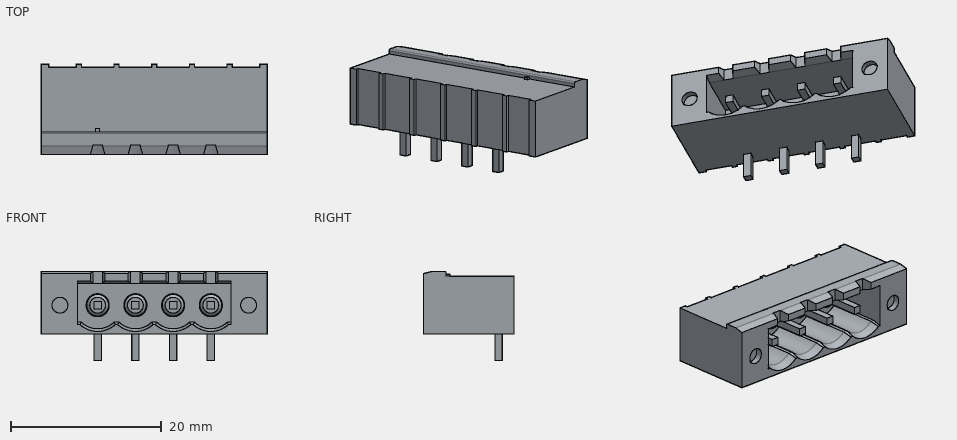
import cadquery as cq

length = 30.0
depth = 12.0
body_height = 7.68
rib_height = 8.35
position_count = 4
pitch = length / (position_count + 2)
axis_height = 3.85
contact_xs = [(i - (position_count - 1) / 2) * pitch for i in range(position_count)]

rib_depth = 3.0
rib_back_round = 0.2
ramp_length = 1.17
ramp_drop = 0.3

marker_width = 0.5
marker_back = 3.5
marker_height = 0.27

recess_depth = 0.4
end_land = 1.02
middle_land = 0.72

cavity_width = 20.35
cavity_depth = 8.4
cavity_bottom = 1.62
cavity_top = 6.72
scallop_radius = 3.12
lead_in_length = 1.25
lead_in = 0.35

slot_width = 1.23
slot_mouth_width = slot_width + 2 * lead_in

flange_hole_diameter = 2.1
flange_hole_depth = 0.9
flange_hole_x = (position_count + 1) / 2 * pitch

pin_size = 1.02
pin_tip = 1.55
leg_back = depth - 1.53
leg_length = 3.5
collar_radius = 1.53
collar_shoulder_radius = 1.45
collar_tip_radius = 1.05
collar_length = 1.5
collar_chamfer_length = 0.35


def box(x_range, y_range, z_range):
    """Axis-aligned block spanning the given ranges."""
    sizes = [high - low for low, high in (x_range, y_range, z_range)]
    corner = (x_range[0], y_range[0], z_range[0])
    return cq.Workplane("XY").box(*sizes, centered=False).translate(corner)


def revolve_about_contact(profile, x):
    """Turn a (y, radius) profile about the contact axis at x."""
    turned = cq.Workplane("YZ").polyline(profile).close().revolve(360, (0, 0, 0), (1, 0, 0))
    return turned.translate((x, 0, axis_height))


def housing_block():
    """Side profile with the ramped rib, extruded along X; the rib's back edge is rounded."""
    profile = [
        (0, 0),
        (depth, 0),
        (depth, body_height),
        (rib_depth, body_height),
        (rib_depth, rib_height),
        (ramp_length, rib_height),
        (0, rib_height - ramp_drop),
    ]
    block = cq.Workplane("YZ").polyline(profile).close().extrude(length / 2, both=True)
    rib_back_edge = cq.selectors.NearestToPointSelector((0, rib_depth, rib_height))
    return block.edges(rib_back_edge).fillet(rib_back_round)


def pin_one_marker():
    """Small block above the first contact, rooted in the roof and the rib."""
    x = contact_xs[0]
    rib_middle = rib_depth / 2
    return box(
        (x - marker_width / 2, x + marker_width / 2),
        (rib_middle, marker_back),
        (body_height - marker_height, body_height + marker_height),
    )


def back_recesses():
    """Shallow full-height recesses that leave narrow lands on the back face."""
    half_land = middle_land / 2
    land_xs = [(i - position_count / 2) * pitch for i in range(position_count + 1)]
    starts = [-length / 2 + end_land] + [x + half_land for x in land_xs]
    ends = [x - half_land for x in land_xs] + [length / 2 - end_land]
    y_range = (depth - recess_depth, depth)
    return [box(x_range, y_range, (0, body_height)) for x_range in zip(starts, ends)]


def cavity_box():
    """Straight-sided part of the cavity; its floor and ceiling flare at the mouth."""
    profile = [
        (0, cavity_bottom - lead_in),
        (lead_in_length, cavity_bottom),
        (cavity_depth, cavity_bottom),
        (cavity_depth, cavity_top),
        (lead_in_length, cavity_top),
        (0, cavity_top + lead_in),
    ]
    return cq.Workplane("YZ").polyline(profile).close().extrude(cavity_width / 2, both=True)


def scallop(x):
    """Round trough along one contact axis, flaring at the mouth."""
    profile = [
        (0, 0),
        (0, scallop_radius + lead_in),
        (lead_in_length, scallop_radius),
        (cavity_depth, scallop_radius),
        (cavity_depth, 0),
    ]
    half_width = cavity_width / 2
    floor_zone = box((-half_width, half_width), (0, cavity_depth), (0, axis_height))
    return revolve_about_contact(profile, x).intersect(floor_zone)


def keying_slot(x):
    """Tapered notch through the lip above one contact."""
    profile = [
        (x - slot_mouth_width / 2, 0),
        (x + slot_mouth_width / 2, 0),
        (x + slot_width / 2, lead_in_length),
        (x - slot_width / 2, lead_in_length),
    ]
    slot = cq.Workplane("XY").polyline(profile).close().extrude(rib_height - axis_height)
    return slot.translate((0, 0, axis_height))


def flange_hole(x):
    """Blind round hole in the front face."""
    hole = cq.Workplane("XZ").circle(flange_hole_diameter / 2).extrude(-flange_hole_depth)
    return hole.translate((x, 0, axis_height))


def make_pin(x):
    """Square wire bent at a right angle: contact end forward, solder leg down."""
    half = pin_size / 2
    contact = box(
        (x - half, x + half), (pin_tip, leg_back), (axis_height - half, axis_height + half)
    )
    leg = box(
        (x - half, x + half), (leg_back - pin_size, leg_back), (-leg_length, axis_height + half)
    )
    return contact.union(leg)


def make_collar(x, pin):
    """Round collar on the cavity back wall, pierced by its pin."""
    front = cavity_depth - collar_length
    profile = [
        (front, 0),
        (front, collar_tip_radius),
        (front + collar_chamfer_length, collar_shoulder_radius),
        (cavity_depth, collar_radius),
        (cavity_depth, 0),
    ]
    return revolve_about_contact(profile, x).cut(pin)


def make_housing(pins):
    """Housing with its cavity, recesses and holes, and a matching channel for each pin."""
    housing = housing_block().union(pin_one_marker())
    for recess in back_recesses():
        housing = housing.cut(recess)
    housing = housing.cut(cavity_box())
    for x in contact_xs:
        housing = housing.cut(scallop(x)).cut(keying_slot(x))
    for x in (-flange_hole_x, flange_hole_x):
        housing = housing.cut(flange_hole(x))
    for pin in pins:
        housing = housing.cut(pin)
    return housing


pins = [make_pin(x) for x in contact_xs]
collars = [make_collar(x, pin) for x, pin in zip(contact_xs, pins)]
housing = make_housing(pins)

result = cq.Compound.makeCompound(
    [housing.val()] + [pin.val() for pin in pins] + [collar.val() for collar in collars]
)